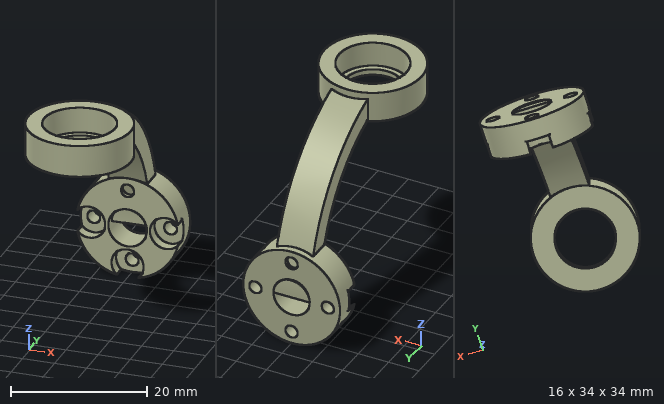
import cadquery as cq

overall = 34.0
head_diameter = 16.0
head_thickness = 5.0

seat_diameter = 11.0
ring_hole_diameter = 9.0
lip_height = 1.0

center_hole_diameter = 6.0
screw_hole_diameter = 2.0
screw_circle_radius = 6.0
counterbore_diameter = 5.0
counterbore_depth = 2.0

arm_width = 6.0
arm_thickness = 3.5

head_radius = head_diameter / 2
flange_front_y = overall - head_thickness
ring_bottom_z = overall - head_thickness
arm_outer_radius = overall - head_radius
arm_inner_radius = arm_outer_radius - arm_thickness


def cylinder_y(x, z, diameter, start_y, length):
    """Cylinder along +Y, starting at start_y."""
    start = cq.Vector(x, start_y, z)
    return cq.Workplane(cq.Solid.makeCylinder(diameter / 2, length, start, cq.Vector(0, 1, 0)))


def cylinder_z(diameter, start_z, height):
    """Vertical cylinder on the ring axis, starting at start_z."""
    return cq.Workplane("XY", origin=(0, head_radius, start_z)).circle(diameter / 2).extrude(height)


def make_flange():
    """Upright disc with a center hole and four screw holes, three of them counterbored."""
    flange = cylinder_y(0, head_radius, head_diameter, flange_front_y, head_thickness)
    flange = flange.cut(cylinder_y(0, head_radius, center_hole_diameter, flange_front_y, head_thickness))
    for x_direction, z_direction in ((1, 0), (0, 1), (-1, 0), (0, -1)):
        x = x_direction * screw_circle_radius
        z = head_radius + z_direction * screw_circle_radius
        flange = flange.cut(cylinder_y(x, z, screw_hole_diameter, flange_front_y, head_thickness))
        beside_arm = z_direction != 1
        if beside_arm:
            flange = flange.cut(cylinder_y(x, z, counterbore_diameter, flange_front_y, counterbore_depth))
    return flange


def cylinder_x(radius):
    """Cylinder along X about the arm's bend axis, as wide as the arm."""
    bend_plane = cq.Workplane("YZ", origin=(-arm_width / 2, head_radius, head_radius))
    return bend_plane.circle(radius).extrude(arm_width)


def make_arm():
    """Quarter of a flat-sided hoop, running from the flange center to the ring center."""
    outer = cylinder_x(arm_outer_radius)
    inner = cylinder_x(arm_inner_radius)
    quadrant = cq.Workplane("XY").box(arm_width, overall, overall, centered=(True, False, False))
    quadrant = quadrant.translate((0, head_radius, head_radius))
    return outer.cut(inner).intersect(quadrant)


ring_blank = cylinder_z(head_diameter, ring_bottom_z, head_thickness)
ring_hole = cylinder_z(ring_hole_diameter, ring_bottom_z, head_thickness)
seat = cylinder_z(seat_diameter, ring_bottom_z + lip_height, head_thickness - lip_height)

result = make_flange().union(make_arm()).union(ring_blank).cut(ring_hole).cut(seat)